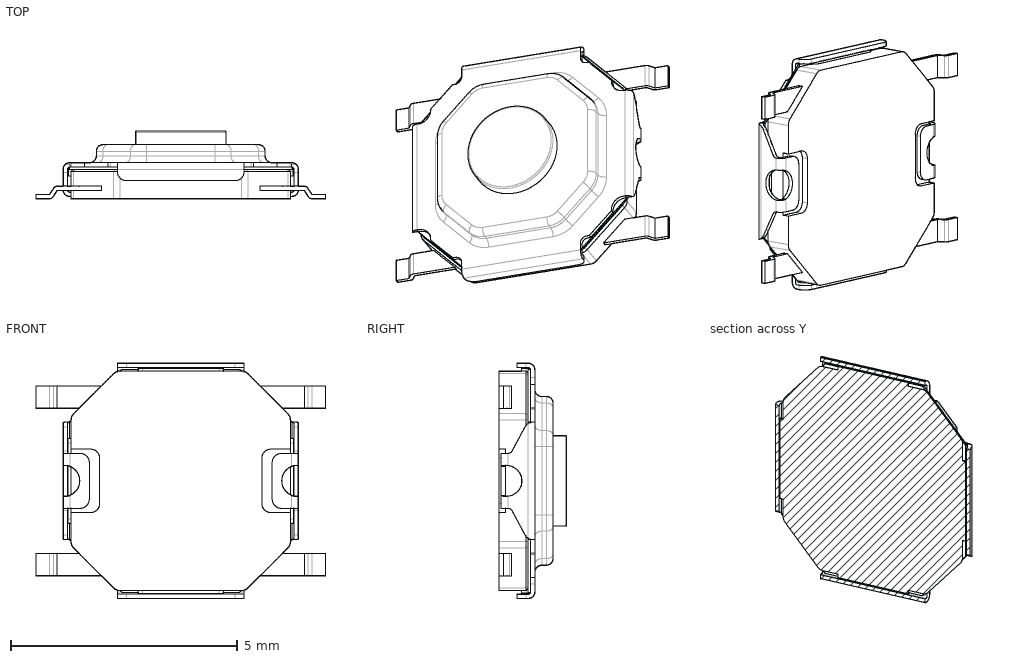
import cadquery as cq


base_half = 2.425
base_corner_cut = 1.0
base_corner_radius = 0.2
base_height = 0.65
base_top_chamfer = 0.05

film_half = 2.46
film_corner_cut = 1.16
film_thickness = 0.05
flap_outer = 2.485
flap_half_width = 0.94
flap_bottom = 0.5
flap_corner_radius = 0.1
flap_bend_radius = 0.05

sheet = 0.1
bend_outer_radius = 0.15
bend_inner_radius = bend_outer_radius - sheet
cover_half = 2.6
cover_bottom = base_height + film_thickness
cover_top = cover_bottom + sheet
cover_inset_half = 2.13
cover_diagonal_start = 1.61
flange_relief_radius = 0.15
clip_relief_radius = 0.28

flange_half_width = 1.4
flange_bottom = 0.4
flange_corner_radius = 0.2

clip_half_width = 1.3
clip_taper_top = 0.636
clip_taper_bottom = 0.265
clip_shoulder_radius = 0.2
clip_root_radius = 0.1
hook_half_width = 0.607
hook_bottom = 0.05
hook_end = 2.02
hook_corner_radius = 0.2
window_radius = 0.34
window_height = 0.17
window_offset = 2.57

pocket_end = 1.79
pocket_half_width = 0.7
pocket_depth = hook_bottom + sheet
pocket_corner_radius = 0.2

dome_half = 1.865
dome_corner_cut = 0.9
dome_corner_radius = 0.5
dome_top = 1.2
dome_edge_radius = 0.15

button_radius = 1.0
button_top = 1.5
button_edge_radius = 0.03

lead_tip = 3.2
lead_thickness = 0.1
lead_width = 0.5
lead_center = 1.85
lead_root = 1.5
lead_rise = 0.18
lead_foot_bend = 2.845
lead_arm_bend = 2.73
lead_bend_shift = 0.05
lead_bend_radius = 0.1


def octagon(half, corner_cut, height):
    """Square block from z = 0 with its four upright corners cut at 45 degrees."""
    side = 2 * half
    block = cq.Workplane("XY").rect(side, side).extrude(height)
    return block.edges("|Z").chamfer(corner_cut)


def half_turn(shape):
    """The shape together with its copy turned 180 degrees about Z."""
    return shape.union(shape.rotate((0, 0, 0), (0, 0, 1), 180))


def make_base():
    base = octagon(base_half, base_corner_cut, base_height)
    base = base.edges("|Z").fillet(base_corner_radius)
    base = base.faces(">Z").edges().chamfer(base_top_chamfer)
    pocket_length = cover_half - pocket_end
    pocket = (
        cq.Workplane("XY")
        .center(-pocket_end - pocket_length / 2, 0)
        .rect(pocket_length, 2 * pocket_half_width)
        .extrude(pocket_depth)
        .edges("|Z and >X")
        .fillet(pocket_corner_radius)
    )
    return base.cut(half_turn(pocket))


def make_film():
    film = octagon(film_half, film_corner_cut, film_thickness)
    film = film.translate((0, 0, base_height))
    flap_depth = flap_outer - base_half + base_top_chamfer
    flap_height = cover_bottom - flap_bottom
    flap = (
        cq.Workplane("XY")
        .box(flap_depth, 2 * flap_half_width, flap_height, centered=(False, True, False))
        .translate((-flap_outer, 0, flap_bottom))
        .edges("|X and <Z")
        .fillet(flap_corner_radius)
        .edges("|Y and >Z and <X")
        .fillet(flap_bend_radius)
    )
    side_flaps = half_turn(flap)
    return film.union(side_flaps).union(side_flaps.rotate((0, 0, 0), (0, 0, 1), 90))


def corner_relief(inner_x, inner_y, radius):
    """Cutter for a corner of the cover, rounded where it meets a flange."""
    return (
        cq.Workplane("XY")
        .box(cover_half, cover_half, sheet, centered=False)
        .edges("|Z and <X and <Y")
        .fillet(radius)
        .translate((inner_x, inner_y, cover_bottom))
    )


def cover_corners():
    """Cutters for all four corners between the flanges and the clips."""
    end_relief = corner_relief(flange_half_width, cover_inset_half, flange_relief_radius)
    side_relief = corner_relief(cover_inset_half, clip_half_width, clip_relief_radius)
    diagonal = (
        cq.Workplane("XY")
        .workplane(offset=cover_bottom)
        .moveTo(cover_diagonal_start, cover_inset_half)
        .lineTo(cover_half, cover_half)
        .lineTo(cover_inset_half, cover_diagonal_start)
        .close()
        .extrude(sheet)
    )
    corner = end_relief.union(side_relief).union(diagonal)
    return half_turn(corner.union(corner.mirror("YZ")))


def round_bend(strip, outer_heights, inner_heights):
    """Round the bends of a folded strip, given the heights of its sharp corners."""
    for height in outer_heights:
        corner = cq.selectors.NearestToPointSelector((-cover_half, 0, height))
        strip = strip.edges("|Y").edges(corner).fillet(bend_outer_radius)
    for height in inner_heights:
        corner = cq.selectors.NearestToPointSelector((sheet - cover_half, 0, height))
        strip = strip.edges("|Y").edges(corner).fillet(bend_inner_radius)
    return strip


def make_flange():
    """Plain flange, folded down along the -Y side of the cover."""
    strip = (
        cq.Workplane("XZ")
        .moveTo(-cover_inset_half, cover_top)
        .lineTo(-cover_half, cover_top)
        .lineTo(-cover_half, flange_bottom)
        .lineTo(sheet - cover_half, flange_bottom)
        .lineTo(sheet - cover_half, cover_bottom)
        .lineTo(-cover_inset_half, cover_bottom)
        .close()
        .extrude(flange_half_width, both=True)
    )
    strip = round_bend(strip, [cover_top], [cover_bottom])
    strip = strip.edges("|X and <Z").fillet(flange_corner_radius)
    return strip.rotate((0, 0, 0), (0, 0, 1), 90)


def clip_outline():
    """Tapering shape of a clip as seen along X, extruded through the clip."""
    outline = (
        cq.Workplane("YZ")
        .moveTo(-clip_half_width, cover_top + sheet)
        .lineTo(-clip_half_width, clip_taper_top)
        .lineTo(-hook_half_width, clip_taper_bottom)
        .lineTo(-hook_half_width, 0)
        .lineTo(hook_half_width, 0)
        .lineTo(hook_half_width, clip_taper_bottom)
        .lineTo(clip_half_width, clip_taper_top)
        .lineTo(clip_half_width, cover_top + sheet)
        .close()
        .extrude(-cover_half)
    )
    margin = 0.01
    for height, radius in (
        (clip_taper_top, clip_shoulder_radius),
        (clip_taper_bottom, clip_root_radius),
    ):
        level = cq.selectors.BoxSelector(
            (-cover_half, -cover_half, height - margin), (0, cover_half, height + margin)
        )
        outline = outline.edges("|X").edges(level).fillet(radius)
    return outline


def make_clip():
    """Clip on the -X side: down past the base, then hooked under it."""
    strip = (
        cq.Workplane("XZ")
        .moveTo(-cover_inset_half, cover_top)
        .lineTo(-cover_half, cover_top)
        .lineTo(-cover_half, hook_bottom)
        .lineTo(-hook_end, hook_bottom)
        .lineTo(-hook_end, pocket_depth)
        .lineTo(sheet - cover_half, pocket_depth)
        .lineTo(sheet - cover_half, cover_bottom)
        .lineTo(-cover_inset_half, cover_bottom)
        .close()
        .extrude(clip_half_width, both=True)
    )
    strip = round_bend(strip, [cover_top, hook_bottom], [cover_bottom, pocket_depth])
    clip = strip.intersect(clip_outline())
    clip = clip.edges("|Z and >X").fillet(hook_corner_radius)
    side_window = (
        cq.Workplane("YZ")
        .workplane(offset=-cover_half)
        .center(0, window_height)
        .circle(window_radius)
        .extrude(bend_outer_radius)
    )
    hook_window = (
        cq.Workplane("XY")
        .center(-window_offset, 0)
        .circle(window_radius)
        .extrude(window_height)
    )
    return clip.cut(side_window).cut(hook_window)


def make_cover():
    """Cover plate with its filled dome, flanges and clips."""
    dome = octagon(dome_half, dome_corner_cut, dome_top - cover_bottom)
    dome = dome.edges("|Z").fillet(dome_corner_radius)
    dome = dome.faces(">Z").edges().fillet(dome_edge_radius)
    dome = dome.translate((0, 0, cover_bottom))
    flat_side = 2 * (cover_half - bend_outer_radius)
    plate = cq.Workplane("XY").rect(flat_side, flat_side).extrude(sheet)
    cover = plate.translate((0, 0, cover_bottom)).union(dome)
    margin = 0.02
    reach = dome_half + margin
    dome_foot = cq.selectors.BoxSelector(
        (-reach, -reach, cover_top - margin), (reach, reach, cover_top + margin)
    )
    cover = cover.edges(dome_foot).fillet(dome_edge_radius).cut(cover_corners())
    return cover.union(half_turn(make_flange())).union(half_turn(make_clip()))


def make_button():
    button = cq.Workplane("XY").circle(button_radius).extrude(button_top - cover_top)
    button = button.faces(">Z").edges().fillet(button_edge_radius)
    return button.translate((0, 0, cover_top))


def make_leads():
    """Four flat leads, stepped down to solder feet level with the base."""
    lead = (
        cq.Workplane("XZ")
        .moveTo(-lead_tip, 0)
        .lineTo(-lead_foot_bend, 0)
        .lineTo(-lead_arm_bend, lead_rise)
        .lineTo(-lead_root, lead_rise)
        .lineTo(-lead_root, lead_rise + lead_thickness)
        .lineTo(-lead_arm_bend - lead_bend_shift, lead_rise + lead_thickness)
        .lineTo(-lead_foot_bend - lead_bend_shift, lead_thickness)
        .lineTo(-lead_tip, lead_thickness)
        .close()
        .extrude(lead_width / 2, both=True)
    )
    arm_corner = (-lead_arm_bend - lead_bend_shift, 0, lead_rise + lead_thickness)
    foot_corner = (-lead_foot_bend, 0, 0)
    for corner in (arm_corner, foot_corner):
        nearest = cq.selectors.NearestToPointSelector(corner)
        lead = lead.edges("|Y").edges(nearest).fillet(lead_bend_radius)
    pair = lead.translate((0, lead_center, 0)).union(lead.translate((0, -lead_center, 0)))
    return half_turn(pair)


switch = make_base().union(make_film()).union(make_cover())
switch = switch.union(make_button()).union(make_leads())
result = switch.rotate((0, 0, 0), (1, 0, 0), -90)